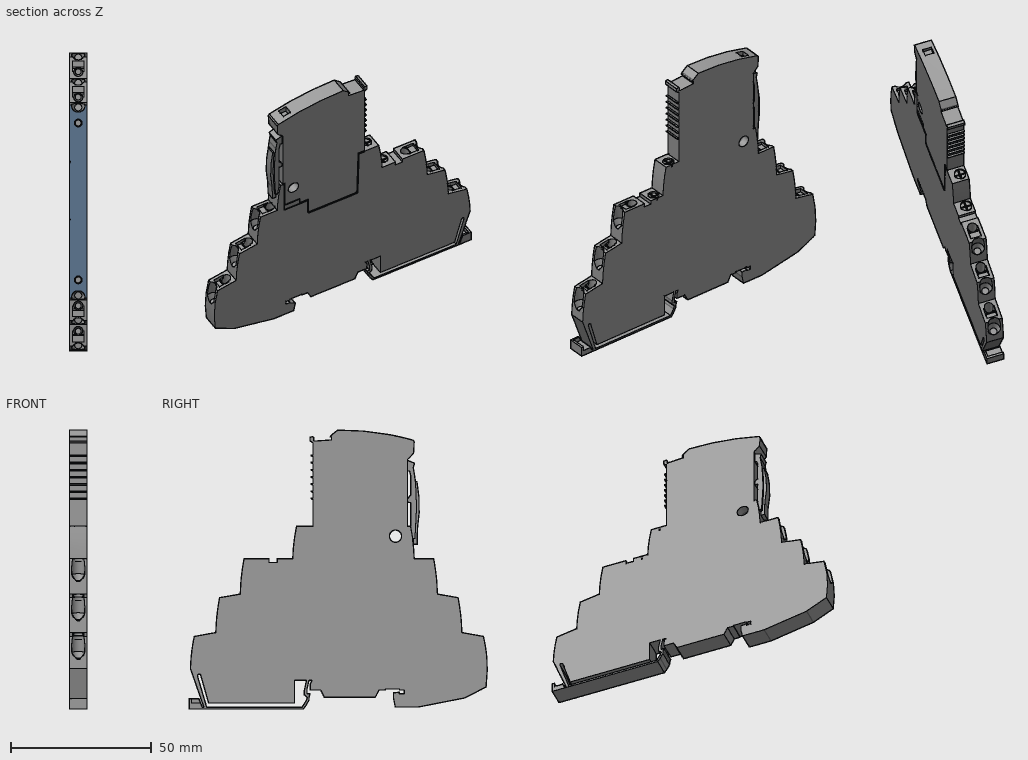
import cadquery as cq

WIDTH = 6.3
NEAR_SIDE = -WIDTH / 2
LENGTH = 105.8
HALF_LENGTH = LENGTH / 2
HEIGHT = 99.0
MID_Y = 0.2

STEPS = [
    (33.6, 53.4, 0.0, 4.3),
    (42.3, 39.6, 1.3, 3.8),
    (51.3, 25.8, 1.4, 3.8),
]
FLANK_SPREAD = 1.4
FLANK_BULGE = 0.26

TOWER_TOP = 64.9
TOWER_BACK = 25.6
TOWER_FRONT = -14.8

FLOOR = 0.7
RAIL_SEAT = 6.8
KEEL = 4.1
SPRING_ROOT = 10.2
FINGER_TOP = 3.7
LEG_TOP = (-52.5, 14.4)
OVERLAP = 0.5

PLUG_BACK = 24.6
PLUG_FRONT = -9.0
SHOULDER_BACK = 26.8

SEAT_BACK = 24.0
SEAT_STEP = 14.4
SEAT_FRONT = -6.8
SEAT_FRONT_LOW = -6.2
SEAT_LEDGE = 52.0
SEAT_FLOOR = 45.7
SEAT_ROUND = 0.8
SEAM = 0.3


def prism(points, width=WIDTH):
    """Straight-sided outline in the YZ plane, centred on X = 0."""
    return cq.Workplane("YZ").polyline(points).close().extrude(width / 2, both=True)


def block(x_range, y_range, z_range):
    """Axis-aligned box between three pairs of limits."""
    size = [high - low for low, high in (x_range, y_range, z_range)]
    corner = (x_range[0], y_range[0], z_range[0])
    return cq.Workplane("XY").box(*size, centered=False).translate(corner)


def bowed_to(sketch, start, end, side):
    """Add a shallow outward arc from start to end; side is +1 for +Y and -1 for -Y."""
    middle = ((start[0] + end[0]) / 2 + side * FLANK_BULGE, (start[1] + end[1]) / 2)
    return sketch.threePointArc(middle, end)


def flank_foot(index, side):
    """Inner end of the step below the given step, where the flank above it lands."""
    corner, _, _, _ = STEPS[index]
    _, next_top, next_fall, _ = STEPS[index + 1]
    return (MID_Y + side * (corner + FLANK_SPREAD), next_top + next_fall)


def step_corner(index, side):
    """Outer top corner of a step."""
    corner, top, _, _ = STEPS[index]
    return (MID_Y + side * corner, top)


def make_housing():
    step_top = STEPS[0][1]
    back_post_foot = (TOWER_BACK + FLANK_SPREAD, step_top)
    front_post_foot = (TOWER_FRONT - FLANK_SPREAD, step_top)

    sketch = cq.Workplane("YZ").moveTo(TOWER_BACK, TOWER_TOP)
    sketch = bowed_to(sketch, (TOWER_BACK, TOWER_TOP), back_post_foot, 1)
    for index in range(len(STEPS) - 1):
        corner = step_corner(index, 1)
        sketch = sketch.lineTo(*corner)
        sketch = bowed_to(sketch, corner, flank_foot(index, 1), 1)
    sketch = sketch.lineTo(*step_corner(2, 1)).threePointArc((HALF_LENGTH, 14.8), (52.5, 7.8))
    sketch = sketch.lineTo(44.8, 3.9).lineTo(28.6, FLOOR)

    underside = [
        (20.2, FLOOR), (19.6, 3.8), (19.6, 5.8), (21.7, 6.0), (21.7, 5.5), (23.4, 5.5),
        (23.4, RAIL_SEAT), (21.7, RAIL_SEAT), (21.7, 7.1), (16.7, 7.1), (16.7, RAIL_SEAT),
        (14.5, RAIL_SEAT), (13.1, KEEL), (-5.0, KEEL), (-6.2, RAIL_SEAT),
        (-9.9, RAIL_SEAT), (-9.9, 9.0), (-9.3, SPRING_ROOT), (-15.4, SPRING_ROOT),
        (-15.4, 2.1), (-46.0, 2.1), (-48.8, 11.8),
    ]
    for point in underside:
        sketch = sketch.lineTo(*point)
    sketch = sketch.threePointArc((-49.4, 12.4), (-49.8, 11.5))
    sketch = sketch.lineTo(*LEG_TOP)

    sketch = bowed_to(sketch, LEG_TOP, step_corner(2, -1), -1)
    for index in (1, 0):
        foot = flank_foot(index, -1)
        sketch = sketch.lineTo(*foot)
        sketch = bowed_to(sketch, foot, step_corner(index, -1), -1)
    sketch = sketch.lineTo(*front_post_foot)
    sketch = bowed_to(sketch, front_post_foot, (TOWER_FRONT, TOWER_TOP), -1)
    return sketch.close().extrude(WIDTH / 2, both=True)


def make_rail_foot():
    """Thin sprung foot: latch blade, bottom strip, sloping leg and finger block."""
    return prism([
        (-11.3, SPRING_ROOT + OVERLAP), (-11.3, SPRING_ROOT), (-12.1, 6.7), (-12.1, 5.1),
        (-11.0, 4.1), (-11.4, 3.0), (-12.8, FLOOR), (-46.6, FLOOR), (-49.8, 11.5),
        (-50.6, 13.2), LEG_TOP, (-47.7, FLOOR), (-48.2, FLOOR), (-49.4, FINGER_TOP),
        (-HALF_LENGTH, FINGER_TOP), (-HALF_LENGTH, 0), (-12.4, 0), (-11.4, 1.3), (-10.4, 3.2),
        (-10.3, 4.5), (-9.9, 5.5), (-11.0, 5.5), (-11.0, 7.3), (-10.4, SPRING_ROOT),
        (-10.4, SPRING_ROOT + OVERLAP),
    ])


def make_hook_bevel():
    """Sloping relief on the near part of the hook lip."""
    bevel = prism([(21.7, 6.1), (21.7, 5.3), (19.5, 4.1), (19.5, 6.1)], WIDTH / 2)
    return bevel.translate((NEAR_SIDE / 2, 0, 0))


FINGER_SLOT_X = (-2.5, NEAR_SIDE + WIDTH)
FINGER_SLOT_Y = (-52.0, -48.9)
FINGER_SLOT_DEPTH = 1.6


def make_finger_slot():
    """Screwdriver slot in the finger block, closed by a thin wall on the near side."""
    return block(FINGER_SLOT_X, FINGER_SLOT_Y, (FINGER_TOP - FINGER_SLOT_DEPTH, FINGER_TOP))


MARKER_SLOT_Y = (-24.5, -21.7)
MARKER_SLOT_DEPTH = 1.4


def make_marker_slot():
    top = STEPS[0][1]
    return block((-WIDTH, WIDTH), MARKER_SLOT_Y, (top - MARKER_SLOT_DEPTH, top))


FUNNEL_RADIUS = 2.3
FUNNEL_TIP_RADIUS = 1.3
FUNNEL_OFFSET = 1.3
FUNNEL_TILT = 11.0
FUNNEL_DEPTH = 8.1
FUNNEL_CONE = 2.2
ROCKER_WIDTH = 3.9
ROCKER_MARGIN = 1.5
ROCKER_DEPTH = 1.1
ROCKER_RAMP = 1.2
ROCKER_LEDGE = 0.4
TEST_RADIUS = 1.7
TEST_TIP_RADIUS = 1.1
TEST_DEPTH = 6.3
CUT_CLEARANCE = 0.1


def make_terminal(step, side):
    """Wire funnel, rocker pocket and test opening of one terminal."""
    corner, top, fall, rocker_length = step
    rocker_end = corner - ROCKER_MARGIN - rocker_length
    above = top + fall + CUT_CLEARANCE
    floor = top - ROCKER_DEPTH
    ledge = top - ROCKER_DEPTH / 2

    def place(distance):
        return MID_Y + side * distance

    funnel = (
        cq.Workplane("XZ")
        .polyline([
            (0, above + FUNNEL_RADIUS), (FUNNEL_RADIUS, above + FUNNEL_RADIUS),
            (FUNNEL_RADIUS, top - FUNNEL_DEPTH + FUNNEL_CONE),
            (FUNNEL_TIP_RADIUS, top - FUNNEL_DEPTH), (0, top - FUNNEL_DEPTH),
        ])
        .close()
        .revolve(360, (0, 0, 0), (0, 1, 0))
        .rotate((0, 0, top), (1, 0, top), -side * FUNNEL_TILT)
        .translate((0, place(corner + FUNNEL_OFFSET), 0))
    )
    rocker = prism([
        (place(corner - ROCKER_MARGIN), above), (place(corner - ROCKER_MARGIN), floor),
        (place(rocker_end + ROCKER_RAMP + ROCKER_LEDGE), floor),
        (place(rocker_end + ROCKER_RAMP + ROCKER_LEDGE), ledge),
        (place(rocker_end + ROCKER_RAMP), ledge),
        (place(rocker_end), top), (place(rocker_end), above),
    ], ROCKER_WIDTH)
    test_opening = (
        cq.Workplane("XY", origin=(0, place(rocker_end), above - TEST_DEPTH))
        .circle(TEST_TIP_RADIUS)
        .workplane(offset=TEST_DEPTH)
        .circle(TEST_RADIUS)
        .loft(ruled=True)
    )
    return funnel.union(rocker).union(test_opening)


SCREW_X = 0.7
SCREW_RADIUS = 2.0
SCREW_RECESS = 0.6
DRIVE_WIDTH = 0.4
DRIVE_DEPTH = 0.6
SCREW_SEATS = [(-11.8, TOWER_TOP), (-18.5, STEPS[0][1])]


def make_screw(y, top):
    """Round recess with a cross-shaped drive in its floor."""
    recess_floor = top - SCREW_RECESS
    recess = (
        cq.Workplane("XY", origin=(SCREW_X, y, recess_floor))
        .circle(SCREW_RADIUS)
        .extrude(SCREW_RECESS)
    )
    drive = cq.Workplane("XY", origin=(SCREW_X, y, recess_floor - DRIVE_DEPTH))
    across = drive.rect(2 * SCREW_RADIUS, DRIVE_WIDTH).extrude(DRIVE_DEPTH)
    along = drive.rect(DRIVE_WIDTH, 2 * SCREW_RADIUS).extrude(DRIVE_DEPTH)
    return recess.union(across).union(along)


GRIP_COUNT = 7
GRIP_TOP = 90.1
GRIP_PITCH = 2.5
GRIP_HEIGHT = 0.8
GRIP_TIP = 0.2
GRIP_REACH = 0.7
EYE_Y = 20.3
EYE_Z = 61.3
EYE_DIAMETER = 4.2
WINDOW_X = (-1.3, 2.0)
WINDOW_Y = (20.4, 23.4)
WINDOW_FLOOR = 94.7
LATCH_Y = (17.6, 23.7)
LATCH_Z = (SEAT_LEDGE, 54.4)


def make_plug():
    head = (
        cq.Workplane("YZ")
        .moveTo(PLUG_BACK, TOWER_TOP - OVERLAP)
        .lineTo(PLUG_BACK, 88.5)
        .lineTo(SHOULDER_BACK, 90.8)
        .lineTo(27.0, 94.8)
        .lineTo(26.5, 95.4)
        .threePointArc((13.3, 98.2), (-0.2, HEIGHT))
    )
    lip = [
        (-2.5, 97.1), (-3.0, 96.5), (-2.4, 96.5), (-2.4, 95.5), (-8.7, 95.1), (-8.7, 96.3),
        (-9.0, 96.7), (-10.0, 96.5), (-10.0, 95.1), (PLUG_FRONT, 94.5), (PLUG_FRONT, TOWER_TOP - OVERLAP),
    ]
    for point in lip:
        head = head.lineTo(*point)
    plug = head.close().extrude(WIDTH / 2, both=True)

    for index in range(GRIP_COUNT):
        ridge_top = GRIP_TOP - index * GRIP_PITCH
        plug = plug.union(prism([
            (PLUG_FRONT + OVERLAP, ridge_top), (PLUG_FRONT - GRIP_REACH, ridge_top),
            (PLUG_FRONT - GRIP_REACH, ridge_top - GRIP_TIP),
            (PLUG_FRONT + OVERLAP, ridge_top - GRIP_HEIGHT),
        ]))
    return plug.cut(block(WINDOW_X, WINDOW_Y, (WINDOW_FLOOR, HEIGHT)))


def foot_outline(inset):
    """Plug foot between the posts, drawn in from the seat on every side but the top."""
    return prism([
        (SEAT_BACK - inset, TOWER_TOP), (SEAT_BACK - inset, SEAT_LEDGE + inset),
        (SEAT_STEP - inset, SEAT_LEDGE + inset), (SEAT_STEP - inset, SEAT_FLOOR + inset),
        (SEAT_FRONT_LOW + inset, SEAT_FLOOR + inset), (SEAT_FRONT + inset, TOWER_TOP),
    ]).edges("|X").edges("<Z").fillet(SEAT_ROUND)


def make_seam():
    """Joint line around the plug foot on the near side face, with the latch recess."""
    ring = foot_outline(0).cut(foot_outline(SEAM))
    near_skin = (NEAR_SIDE, NEAR_SIDE + SEAM)
    seam = ring.intersect(block(near_skin, (-HALF_LENGTH, HALF_LENGTH), (0, TOWER_TOP)))
    for joint_y in ((PLUG_FRONT, SEAT_FRONT), (SEAT_BACK, PLUG_BACK)):
        seam = seam.union(block(near_skin, joint_y, (TOWER_TOP - SEAM, TOWER_TOP)))
    return seam.union(block(near_skin, LATCH_Y, LATCH_Z))


def make_eye():
    return (
        cq.Workplane("YZ")
        .center(EYE_Y, EYE_Z)
        .circle(EYE_DIAMETER / 2)
        .extrude(WIDTH, both=True)
    )


BLADE_WIDTH = 4.8
PAD_WIDTH = 3.2


def make_lever():
    blade = prism([
        (PLUG_BACK - OVERLAP, 88.4), (27.1, 87.3), (26.7, 85.7), (27.1, 83.0), (27.4, 80.8),
        (27.7, 73.0), (27.7, 70.4), (27.4, 64.0), (27.2, 60.5), (25.9, 60.5),
        (25.2, TOWER_TOP - OVERLAP), (25.2, TOWER_TOP), (25.7, TOWER_TOP), (25.7, 73.2),
        (PLUG_BACK - OVERLAP, 73.4), (PLUG_BACK - OVERLAP, 74.1), (25.7, 75.9), (25.7, 82.7), (25.3, 84.4),
        (PLUG_BACK - OVERLAP, 84.4),
    ], BLADE_WIDTH)
    pad = (
        cq.Workplane("YZ")
        .moveTo(26.7, 80.8)
        .lineTo(27.9, 80.8)
        .threePointArc((28.8, 73.2), (28.1, 64.0))
        .lineTo(28.0, 58.4)
        .lineTo(26.7, 58.4)
        .close()
        .extrude(PAD_WIDTH / 2, both=True)
    )
    return blade.union(pad)


housing = make_housing().union(make_rail_foot())
housing = housing.cut(make_hook_bevel()).cut(make_marker_slot()).cut(make_finger_slot())
for step in STEPS:
    for side in (1, -1):
        housing = housing.cut(make_terminal(step, side))
for seat_y, seat_top in SCREW_SEATS:
    housing = housing.cut(make_screw(seat_y, seat_top))

result = housing.union(make_plug()).union(make_lever())
result = result.cut(make_seam()).cut(make_eye())